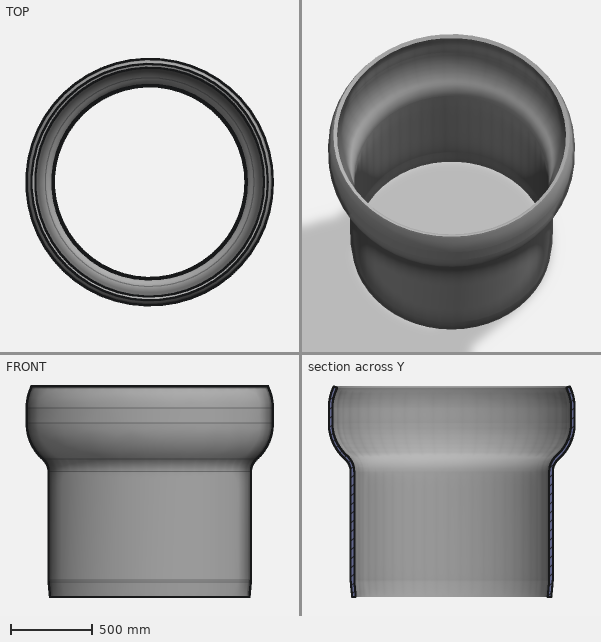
import cadquery as cq
import math

height = 1300.0
bell_radius = 760.0
pipe_diameter = 1250.0
bore_diameter = 1200.0
shoulder_bottom = 774.0
band_bottom = 1072.0
band_top = 1166.0
lip_bottom = 1289.0
bell_arc = 293.0
tip_inset = 9.0
taper_top = 93.0
bend_top = 105.0

pipe_radius = pipe_diameter / 2
wall = (pipe_diameter - bore_diameter) / 2

shoulder_rise = band_bottom - shoulder_bottom
shoulder_run = bell_radius - pipe_radius
sweep = 2 * math.atan2(shoulder_run, shoulder_rise)
neck_arc = shoulder_rise / math.sin(sweep) - bell_arc

rim_angle = math.asin((lip_bottom - band_top) / bell_arc)
lip_length = (height - lip_bottom) / math.cos(rim_angle)

bend_height = bend_top - taper_top
tip_angle = math.atan2(tip_inset, taper_top + bend_height / 2)
bend_arc = bend_height / math.sin(tip_angle)


def arc_point(center_r, center_z, radius, angle):
    """Point on an arc, with the angle measured up from the outward radial direction."""
    return (center_r + radius * math.cos(angle), center_z + radius * math.sin(angle))


def solid_of_revolution(inset):
    """Solid inside the wall surface lying the given distance in from the outside."""
    bell = bell_arc - inset
    neck = neck_arc + inset
    bend = bend_arc - inset
    bell_center = bell_radius - bell_arc
    neck_center = pipe_radius + neck_arc
    bend_center = pipe_radius - bend_arc

    taper_start = arc_point(bend_center, bend_top, bend, -tip_angle)
    tip_radius = taper_start[0] - taper_start[1] * math.tan(tip_angle)
    lip_start = arc_point(bell_center, band_top, bell, rim_angle)
    rim_edge = (
        lip_start[0] - lip_length * math.sin(rim_angle),
        lip_start[1] + lip_length * math.cos(rim_angle),
    )
    axis_end = (0, rim_edge[1] - rim_edge[0] * math.tan(rim_angle))
    profile = (
        cq.Workplane("XZ")
        .moveTo(0, 0)
        .lineTo(tip_radius, 0)
        .lineTo(*taper_start)
        .threePointArc(
            arc_point(bend_center, bend_top, bend, -tip_angle / 2),
            (pipe_radius - inset, bend_top),
        )
        .lineTo(pipe_radius - inset, shoulder_bottom)
        .threePointArc(
            arc_point(neck_center, shoulder_bottom, neck, math.pi - sweep / 2),
            arc_point(neck_center, shoulder_bottom, neck, math.pi - sweep),
        )
        .threePointArc(
            arc_point(bell_center, band_bottom, bell, -sweep / 2),
            (bell_radius - inset, band_bottom),
        )
        .lineTo(bell_radius - inset, band_top)
        .threePointArc(arc_point(bell_center, band_top, bell, rim_angle / 2), lip_start)
        .lineTo(*rim_edge)
        .lineTo(*axis_end)
        .close()
    )
    return profile.revolve(360, (0, 0, 0), (0, 1, 0))


result = solid_of_revolution(0).cut(solid_of_revolution(wall))